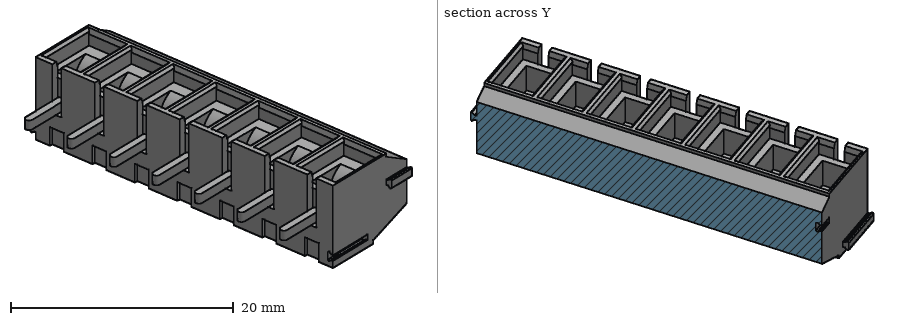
import cadquery as cq
import math

pole_count = 7
pitch = 5.0
length = pole_count * pitch
height = 8.6
depth = 10.28

top_flat_depth = 7.42
top_step = 0.35
top_slope_end = 6.7
bottom_flat_depth = 5.6
bottom_step = 0.35
bottom_slope_end = 2.15

cavity_width = 4.1
cavity_front = 0.75
cavity_back = 6.88
cavity_floor = 6.88
side_rim_spread = 0.25
side_rim_height = 0.3
end_rim_spread = 0.18
end_rim_height = 0.55

pocket_width = 2.65
pocket_front = 1.45
pocket_back = 5.57
ramp_front = 3.87
ramp_radius = 3.15

slot_width = 1.05
slot_bottom = 3.48
notch_width = 1.6
notch_height = 1.95
notch_depth = 0.33

pin_width = 0.75
pin_height = 1.0
pin_middle = 4.4
pin_reach = 4.25

rail_reach = 0.6
rail_neck_half = 0.3
rail_neck_reach = 0.18
rail_wide_half = 0.5
rail_wide_reach = 0.47
rail_tip_half = 0.4
front_rail_middle = 1.05
front_rail_length = 4.8
back_rail_middle = 5.6
back_rail_length = depth - top_flat_depth


def box(x_range, y_range, z_range):
    """Block between the given limits on each axis."""
    sizes = [end - start for start, end in (x_range, y_range, z_range)]
    corner = (x_range[0], y_range[0], z_range[0])
    return cq.Workplane("XY").box(*sizes, centered=False).translate(corner)


def across(middle, width):
    """Limits of a width centred on a middle."""
    return (middle - width / 2, middle + width / 2)


def make_housing():
    outline = [
        (0, 0),
        (bottom_flat_depth, 0),
        (bottom_flat_depth, bottom_step),
        (depth, bottom_slope_end),
        (depth, top_slope_end),
        (top_flat_depth, height - top_step),
        (top_flat_depth, height),
        (0, height),
    ]
    return cq.Workplane("YZ").polyline(outline).close().extrude(length)


def make_cavity(middle):
    """Cavity as the common part of its cross profile and its lengthwise profile."""
    half = cavity_width / 2
    side_rim_z = height - side_rim_height
    cross_profile = [
        (-half, cavity_floor),
        (half, cavity_floor),
        (half, side_rim_z),
        (half + side_rim_spread, height),
        (-half - side_rim_spread, height),
        (-half, side_rim_z),
    ]
    end_rim_z = height - end_rim_height
    long_profile = [
        (cavity_front, cavity_floor),
        (cavity_back, cavity_floor),
        (cavity_back, end_rim_z),
        (cavity_back + end_rim_spread, height),
        (cavity_front - end_rim_spread, height),
        (cavity_front, end_rim_z),
    ]
    across_pole = (
        cq.Workplane("XZ", origin=(middle, 0, 0))
        .polyline(cross_profile)
        .close()
        .extrude(-depth)
    )
    along_pole = (
        cq.Workplane("YZ", origin=(middle - pitch / 2, 0, 0))
        .polyline(long_profile)
        .close()
        .extrude(pitch)
    )
    return across_pole.intersect(along_pole)


def make_pocket(middle):
    """Pocket whose ramp drops from the cavity floor and turns upright at the pocket bottom."""
    axis_y = ramp_front + ramp_radius
    start_angle = math.acos((axis_y - pocket_back) / ramp_radius)
    pocket_bottom = cavity_floor - ramp_radius * math.sin(start_angle)
    ramp_middle = (
        axis_y - ramp_radius * math.cos(start_angle / 2),
        pocket_bottom + ramp_radius * math.sin(start_angle / 2),
    )
    return (
        cq.Workplane("YZ", origin=(middle - pocket_width / 2, 0, 0))
        .moveTo(pocket_front, cavity_floor)
        .lineTo(pocket_front, pocket_bottom)
        .lineTo(ramp_front, pocket_bottom)
        .threePointArc(ramp_middle, (pocket_back, cavity_floor))
        .close()
        .extrude(pocket_width)
    )


def make_slot(middle):
    return box(across(middle, slot_width), (0, cavity_front), (slot_bottom, height))


def make_notch(middle):
    return box(across(middle, notch_width), (0, notch_depth), (0, notch_height))


def make_pin(middle):
    """Flat pin that starts at the back face of the front slot."""
    pin_radius = pin_width / 2
    round_centre = pin_radius - pin_reach
    return (
        cq.Workplane("XY", origin=(middle, 0, pin_middle - pin_height / 2))
        .moveTo(-pin_radius, cavity_front)
        .lineTo(-pin_radius, round_centre)
        .threePointArc((0, -pin_reach), (pin_radius, round_centre))
        .lineTo(pin_radius, cavity_front)
        .close()
        .extrude(pin_height)
    )


def make_rail(face_x, direction, start_y, run, middle_z):
    """Dovetail bar along Y that leaves the plane x = face_x in the given X direction."""
    upper_half = [
        (0, rail_neck_half),
        (rail_neck_reach, rail_neck_half),
        (rail_wide_reach, rail_wide_half),
        (rail_reach, rail_tip_half),
    ]
    lower_half = [(reach, -half) for reach, half in reversed(upper_half)]
    outline = [(direction * reach, half) for reach, half in upper_half + lower_half]
    return (
        cq.Workplane("XZ", origin=(face_x, start_y, middle_z))
        .polyline(outline)
        .close()
        .extrude(-run)
    )


def make_front_rail(face_x):
    return make_rail(face_x, -1, 0, front_rail_length, front_rail_middle)


def make_back_rail(face_x):
    return make_rail(face_x, 1, depth - back_rail_length, back_rail_length, back_rail_middle)


result = make_housing()

for pole in range(pole_count):
    pole_middle = (pole + 0.5) * pitch
    for make_cut in (make_cavity, make_pocket, make_slot, make_notch):
        result = result.cut(make_cut(pole_middle))
    result = result.union(make_pin(pole_middle))

result = result.cut(make_back_rail(0)).cut(make_front_rail(length))
result = result.union(make_front_rail(0)).union(make_back_rail(length))